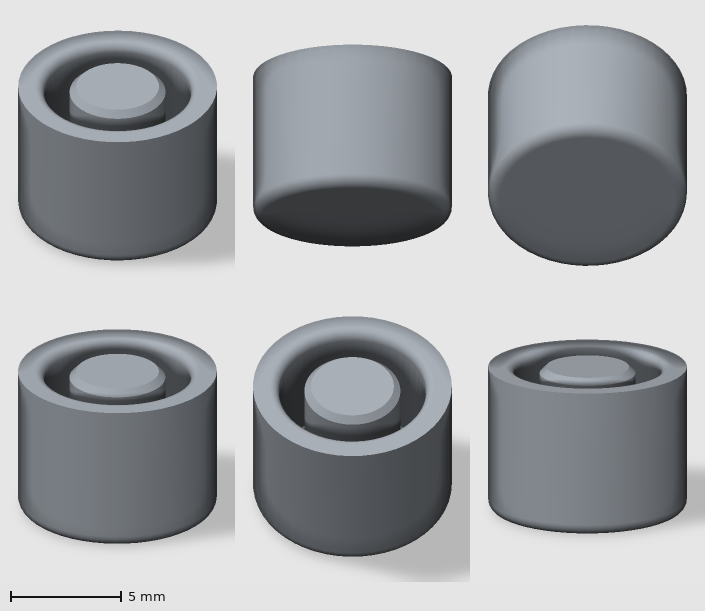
import cadquery as cq

body_diameter = 9.0
body_height = 6.7
bottom_edge_radius = 0.5

pocket_diameter = 6.65
pocket_rim_radius = 0.4
floor_thickness = 1.69
pocket_depth = body_height - floor_thickness

pin_diameter = 4.35
pin_chamfer = 0.3


def make_cup():
    """Cylinder standing on Z = 0, with a rounded bottom edge and a round-lipped pocket."""
    body = cq.Workplane("XY").circle(body_diameter / 2).extrude(body_height)
    body = body.faces("<Z").edges().fillet(bottom_edge_radius)
    cup = body.faces(">Z").workplane().hole(pocket_diameter, pocket_depth)
    pocket_rim = cq.selectors.RadiusNthSelector(0)
    return cup.faces(">Z").edges(pocket_rim).fillet(pocket_rim_radius)


def make_pin():
    """Pin rising from the pocket floor, chamfered at its top edge."""
    pin = cq.Workplane("XY").workplane(offset=floor_thickness)
    pin = pin.circle(pin_diameter / 2).extrude(pocket_depth)
    return pin.faces(">Z").edges().chamfer(pin_chamfer)


result = make_cup().union(make_pin())